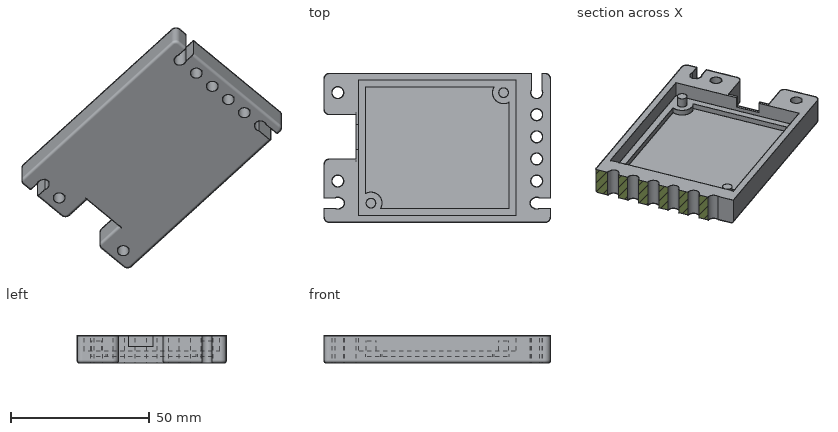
import cadquery as cq

length = 82.0
width = 54.0
height = 10.0
corner_radius = 2.0
bottom_edge_radius = 1.0

pitch = 8.0
hole_diameter = 4.2
column_x = 4.5 * pitch
back_row_y = 2.5 * pitch
right_column_rows = (0, 1, 2, 3, 4, 5)
left_column_rows = (0, 4, 5)

slot_width = 3.7
side_slot_length = 5.5
side_slot_y = back_row_y - 5 * pitch

pocket_length = 57.0
pocket_width = 49.0
ledge_depth = 5.5
ledge_width = 2.5
recess_length = pocket_length - 2 * ledge_width
recess_width = pocket_width - 2 * ledge_width
floor_thickness = 2.5
ledge_z = height - ledge_depth

pin_x = 3.0 * pitch
pin_y = 2.5 * pitch
pin_places = [(pin_x, pin_y), (-pin_x, -pin_y)]
pin_diameter = 3.5
pin_height = 3.5
pad_diameter = 8.0

notch_depth = 11.5
notch_width = 2 * pitch
notch_y = 0.5 * pitch
window_width = 9.0
window_depth = 4.0


def box(size_x, size_y, bottom_z, top_z, center=(0, 0)):
    """Upright block between two heights, centred on a point in plan."""
    return (
        cq.Workplane("XY", origin=(center[0], center[1], bottom_z))
        .rect(size_x, size_y)
        .extrude(top_z - bottom_z)
    )


def cylinders(places, diameter, bottom_z, top_z):
    """Upright cylinders at the given plan positions."""
    return (
        cq.Workplane("XY", origin=(0, 0, bottom_z))
        .pushPoints(places)
        .circle(diameter / 2)
        .extrude(top_z - bottom_z)
    )


def make_body():
    """Notched block with rounded outer corners and bottom edge.

    The inner end of the notch keeps its edges sharp.
    """
    left = -length / 2
    right = length / 2
    front = -width / 2
    back = width / 2
    notch_end = left + notch_depth
    notch_front = notch_y - notch_width / 2
    notch_back = notch_y + notch_width / 2
    outline = [
        (left, front),
        (right, front),
        (right, back),
        (left, back),
        (left, notch_back),
        (notch_end, notch_back),
        (notch_end, notch_front),
        (left, notch_front),
    ]
    block = cq.Workplane("XY").polyline(outline).close().extrude(height)

    margin = 1.0
    notch_end_edges = cq.selectors.BoxSelector(
        (notch_end - margin, notch_front - margin, -margin),
        (notch_end + margin, notch_back + margin, height + margin),
    )
    other_edges = cq.selectors.InverseSelector(notch_end_edges)
    block = block.edges("|Z").edges(other_edges).fillet(corner_radius)
    return block.faces("<Z").edges(other_edges).fillet(bottom_edge_radius)


def make_pocket():
    """Volume of the stepped pocket, less the pads and pins that stand in it."""
    upper = box(pocket_length, pocket_width, ledge_z, height)
    lower = box(recess_length, recess_width, floor_thickness, ledge_z)
    pads = cylinders(pin_places, pad_diameter, floor_thickness, ledge_z)
    pins = cylinders(pin_places, pin_diameter, ledge_z, ledge_z + pin_height)
    return upper.union(lower).cut(pads).cut(pins)


def make_window():
    """Opening through the top of the wall between the notch and the pocket."""
    end_length = (length - pocket_length) / 2
    center = (-(length - end_length) / 2, notch_y)
    return box(end_length, window_width, height - window_depth, height, center)


def make_holes():
    """Through holes of both columns, including those that the slots open."""
    right_column = [(column_x, back_row_y - row * pitch) for row in right_column_rows]
    left_column = [(-column_x, back_row_y - row * pitch) for row in left_column_rows]
    return cylinders(right_column + left_column, hole_diameter, 0, height)


def make_back_slot():
    """Slot from the +Y side into the last hole of the +X column."""
    slot_length = width / 2 - back_row_y
    return box(slot_width, slot_length, 0, height, (column_x, back_row_y + slot_length / 2))


def make_side_slot(side):
    """Round-ended slot from one end of the block, +X (1) or -X (-1)."""
    straight_center = (side * (length - side_slot_length) / 2, side_slot_y)
    round_center = (side * (length / 2 - side_slot_length), side_slot_y)
    straight = box(side_slot_length, slot_width, 0, height, straight_center)
    return straight.union(cylinders([round_center], slot_width, 0, height))


result = make_body().cut(make_pocket()).cut(make_window()).cut(make_holes()).cut(make_back_slot())
for side in (-1, 1):
    result = result.cut(make_side_slot(side))